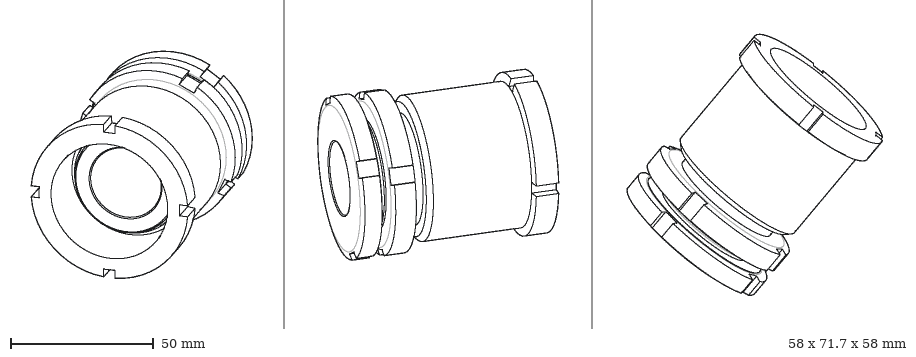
import cadquery as cq
import math

length = 71.7
rim_diameter = 58.0
rim_radius = rim_diameter / 2

housing_length = 47.0
flange_width = 9.05
sleeve_radius = 25.95
sleeve_chamfer = 2.0
housing_bore_radius = 21.6
housing_bore_depth = 22.95

rim_chamfer_angle = math.radians(15)
rim_chamfer_width = (rim_radius - sleeve_radius) * math.tan(rim_chamfer_angle)

thread_radius = 20.0
head_width = 8.1
head_pad_radius = 25.4
head_pad_height = 0.15
neck_radius = 18.85
neck_length = 1.0
neck_fillet = 0.8
neck_cone_angle = math.radians(45)

screw_front = 17.8
tip_radius = 19.0
tip_length = 1.4
tip_chamfer = 0.6
tip_cone_angle = math.radians(30)

screw_bore_radius = 13.05
screw_bore_chamfer = 0.4

nut_front = 51.3
nut_width = 9.2

notch_count = 4
spanner_notch_floor_radius = 26.55
housing_notch_width = 4.15
spanner_notch_width = 6.0
head_notch_angle = 33.3
nut_notch_angle = 25.0


def turned(profile):
    """Revolve a closed (radius, y) outline about the Y axis."""
    return cq.Workplane("XY").polyline(profile).close().revolve(360, (0, 0, 0), (0, 1, 0))


def cut_notches(body, y_start, width, notch_width, floor_radius, first_angle):
    """Cut flat-floored notches across a rim; angles run from -X towards +Z."""
    for index in range(notch_count):
        angle = first_angle + index * 360 / notch_count
        cutter = (
            cq.Workplane("XY")
            .box(rim_radius, width, notch_width, centered=(False, False, True))
            .translate((floor_radius, y_start, 0))
            .rotate((0, 0, 0), (0, 1, 0), 180 + angle)
        )
        body = body.cut(cutter)
    return body


def make_housing():
    body = turned([
        (housing_bore_radius, 0),
        (rim_radius, 0),
        (rim_radius, flange_width - rim_chamfer_width),
        (sleeve_radius, flange_width),
        (sleeve_radius, housing_length - sleeve_chamfer),
        (sleeve_radius - sleeve_chamfer, housing_length),
        (thread_radius, housing_length),
        (thread_radius, housing_bore_depth),
        (housing_bore_radius, housing_bore_depth),
    ])
    return cut_notches(body, 0, flange_width, housing_notch_width, sleeve_radius, 0)


def fillet_point(neck_front, angle):
    """Point (radius, y) on the neck fillet after it has turned by the given angle."""
    return (
        neck_radius + neck_fillet * (1 - math.cos(angle)),
        neck_front - neck_fillet * math.sin(angle),
    )


def make_screw():
    head_front = length - head_width
    rim_front = head_front + head_pad_height
    bore_mouth_radius = screw_bore_radius + screw_bore_chamfer
    tip_back = screw_front + tip_length
    thread_front = tip_back + (thread_radius - tip_radius) / math.tan(tip_cone_angle)

    neck_front = head_front - neck_length
    fillet_mid = fillet_point(neck_front, neck_cone_angle / 2)
    fillet_end = fillet_point(neck_front, neck_cone_angle)
    thread_back = fillet_end[1] - (thread_radius - fillet_end[0]) / math.tan(neck_cone_angle)

    body = (
        cq.Workplane("XY")
        .moveTo(bore_mouth_radius, screw_front)
        .lineTo(tip_radius - tip_chamfer, screw_front)
        .lineTo(tip_radius, screw_front + tip_chamfer)
        .lineTo(tip_radius, tip_back)
        .lineTo(thread_radius, thread_front)
        .lineTo(thread_radius, thread_back)
        .lineTo(*fillet_end)
        .threePointArc(fillet_mid, (neck_radius, neck_front))
        .lineTo(neck_radius, head_front)
        .lineTo(head_pad_radius, head_front)
        .lineTo(head_pad_radius, rim_front)
        .lineTo(sleeve_radius, rim_front)
        .lineTo(rim_radius, rim_front + rim_chamfer_width)
        .lineTo(rim_radius, length - rim_chamfer_width)
        .lineTo(sleeve_radius, length)
        .lineTo(bore_mouth_radius, length)
        .lineTo(screw_bore_radius, length - screw_bore_chamfer)
        .lineTo(screw_bore_radius, screw_front + screw_bore_chamfer)
        .close()
        .revolve(360, (0, 0, 0), (0, 1, 0))
    )
    return cut_notches(
        body, head_front, head_width, spanner_notch_width, spanner_notch_floor_radius, head_notch_angle
    )


def make_lock_nut():
    nut_back = nut_front + nut_width
    body = turned([
        (thread_radius, nut_front),
        (sleeve_radius, nut_front),
        (rim_radius, nut_front + rim_chamfer_width),
        (rim_radius, nut_back - rim_chamfer_width),
        (sleeve_radius, nut_back),
        (thread_radius, nut_back),
    ])
    return cut_notches(
        body, nut_front, nut_width, spanner_notch_width, spanner_notch_floor_radius, nut_notch_angle
    )


housing = make_housing()
screw = make_screw()
lock_nut = make_lock_nut()

result = cq.Compound.makeCompound([
    housing.solids().val(),
    screw.solids().val(),
    lock_nut.solids().val(),
])